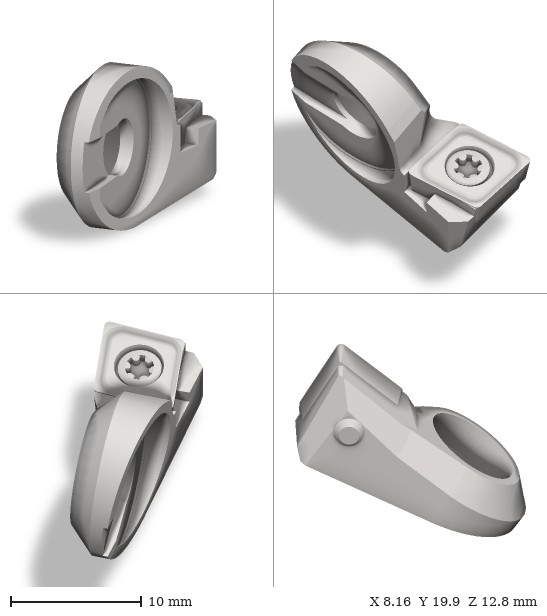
import cadquery as cq
import math

OVERALL_LENGTH = 19.86

RING_DIAMETER = 12.8
RING_RADIUS = RING_DIAMETER / 2
EDGE_CHAMFER = 1.99
BACK_AT_AXIS = 4.53
BACK_SLANT = 11.0
COUNTERBORE_RADIUS = 3.73
COUNTERBORE_DEPTH = 2.55
BOLT_HOLE_RADIUS = 2.25
RECESS_RADIUS = 5.48
RECESS_STEP_RADIUS = 5.4
RECESS_STEP_X = 3.83
RECESS_FLOOR_X = 3.65
KEY_SLOT_HALF_WIDTH = 2.03
KEY_SLOT_FLOOR_X = 2.98

UNDERSIDE_SLOPE = 6.0
FRONT_BEVEL_SLOPE = 4.0
LUG_BEVEL_YAW = 3.0
LUG_BEVEL_DIP = 45.0
LUG_BEVEL_X, LUG_BEVEL_Y, LUG_BEVEL_Z = -0.64, 12.65, -3.75
SHOULDER_SLOPE = 47.0
SHOULDER_LENGTH = 4.96
FRONT_OVERHANG = 1.99
STOCK = 39.72
TOE_Y, TOE_Z = 11.1, -5.22
TOE_ANGLE = 45.0
HEEL_X, HEEL_Y = 6.77, 11.44
HEEL_ANGLE = 40.0
NECK_Y = 5.2
NECK_ANGLE = 206.0
NECK_FILLET = 0.54
WALL_LEAN = 11.5
WALL_FOOT_Y = 6.08
FLANK_FOOT_Y = 4.67
FLANK_ANGLE = 23.3
SHELF_FILLET = 0.48
NOTCH_START_X = 5.06
NOTCH_START_Y = 6.53
NOTCH_END_Y = 9.02

INSERT_X, INSERT_Z = 2.05, 0.18
RAKE = 3.0
INSCRIBED_RADIUS = 3.18
INSERT_THICKNESS = 2.38
CORNER_ANGLE = 80.0
CLEARANCE = 7.0
CORNER_RADIUS = 0.4
CORNER_REACH = CORNER_RADIUS + (INSCRIBED_RADIUS - CORNER_RADIUS) / (
    math.sqrt(2) * math.sin(math.radians(CORNER_ANGLE / 2))
)
INSERT_Y = OVERALL_LENGTH - RING_RADIUS - CORNER_REACH
GROOVE_MARGIN = 0.08
GROOVE_CORNER_RADIUS = 1.4
GROOVE_DEPTH = 0.2
PLATEAU_RADIUS = 2.38
PLATEAU_CORNER_RADIUS = 0.8
PLATEAU_DROP = 0.05
HEAD_CLEARANCE_RADIUS = 1.95
HEAD_CLEARANCE_TAPER = 15.0

SHELF_DROP = 0.12
LAND_DROP = 1.1
ARM_MARGIN = 0.12
NOSE_ANGLE = 135.0
SIDE_ANGLE = NOSE_ANGLE + 90 - CORNER_ANGLE / 2
END_ANGLE = NOSE_ANGLE - 90 + CORNER_ANGLE / 2
NOSE_RELIEF = 11.0
NOSE_REACH = 4.57

SCREW_OFFSET_X, SCREW_OFFSET_Y = 0.08, -0.1
HEAD_RADIUS = 1.69
HEAD_TOP_DROP = 0.08
HEAD_RIM_DROP = 0.28
HEAD_SEAT_DROP = 0.6
HEAD_CONE_END_DROP = 1.3
SHANK_RADIUS = 1.23
TIP_RADIUS = 0.77
SCREW_END_DROP = 6.0
SOCKET_RADIUS = 1.11
SOCKET_BEVEL = 0.15
SOCKET_DEPTH = 0.9
LOBES = 6
LOBE_INNER_RADIUS = 0.73
FLUTE_RADIUS = 0.32

seat = cq.Plane(
    origin=(INSERT_X, INSERT_Y, INSERT_Z),
    xDir=(math.cos(math.radians(RAKE)), 0, math.sin(math.radians(RAKE))),
    normal=(-math.sin(math.radians(RAKE)), 0, math.cos(math.radians(RAKE))),
)


def on_seat(shape):
    """Move a shape built around the insert centre into its tilted place."""
    return cq.Workplane(shape.val().moved(cq.Location(seat)))


def heading(angle, dip=0.0):
    """Unit vector at an angle from X in the XY plane, dipped below that plane."""
    across = math.cos(math.radians(dip))
    return cq.Vector(
        across * math.cos(math.radians(angle)),
        across * math.sin(math.radians(angle)),
        -math.sin(math.radians(dip)),
    )


def beyond(point, normal):
    """Large block covering everything past a plane, on the side its normal points to."""
    return cq.Workplane(cq.Plane(origin=point, normal=normal)).rect(STOCK, STOCK).extrude(STOCK)


def axial_cylinder(radius, start, end):
    return cq.Workplane("YZ", origin=(start, 0, 0)).circle(radius).extrude(end - start)


def rhombus(inscribed_radius, corner_radius):
    """Round-cornered rhombus outline, its acute corners pointing along (-1, 1) and (1, -1)."""
    half_angle = math.radians(CORNER_ANGLE / 2)
    core_radius = inscribed_radius - corner_radius
    acute = core_radius / math.sin(half_angle) * math.sqrt(0.5)
    obtuse = core_radius / math.cos(half_angle) * math.sqrt(0.5)
    corners = [(-acute, acute), (-obtuse, -obtuse), (acute, -acute), (obtuse, obtuse)]
    return cq.Workplane("XY").polyline(corners).close().offset2D(corner_radius)


def make_ring():
    ring = axial_cylinder(RING_RADIUS, 0, STOCK).faces("<X").chamfer(EDGE_CHAMFER)
    shoulder = (
        cq.Workplane("XY")
        .box(STOCK, SHOULDER_LENGTH, RING_RADIUS, centered=False)
        .edges("<X and >Z")
        .chamfer(EDGE_CHAMFER)
        .rotate((0, 0, 0), (1, 0, 0), -SHOULDER_SLOPE)
    )
    return ring.union(shoulder)


def arm_stock(start_x):
    """Block along the underside, which touches the ring and rises toward +Y."""
    stock = cq.Workplane("XY").box(STOCK, STOCK / 2, 2 * RING_RADIUS, centered=False)
    stock = stock.translate((start_x, 0, -RING_RADIUS))
    return stock.rotate((0, 0, 0), (1, 0, 0), UNDERSIDE_SLOPE)


def front_bevel():
    """Space before the bevel that carries on the cone of the ring along the arm."""
    cone_apex = (EDGE_CHAMFER - RING_RADIUS, 0, 0)
    rise = math.radians(FRONT_BEVEL_SLOPE)
    return beyond(cone_apex, cq.Vector(-1, math.sin(rise), -math.cos(rise)))


def lug_bevel():
    """Space before the bevel under the lug that carries the insert."""
    corner = (LUG_BEVEL_X, LUG_BEVEL_Y, LUG_BEVEL_Z)
    return beyond(corner, heading(180 + LUG_BEVEL_YAW, LUG_BEVEL_DIP))


def relief(angle, reach, lean):
    """Space beyond an undercut face that stands at a given reach from the insert centre."""
    return on_seat(beyond(heading(angle) * reach, heading(angle, lean)))


def make_arm():
    lug = arm_stock(-FRONT_OVERHANG).cut(beyond((0, NECK_Y, 0), heading(NECK_ANGLE)))
    arm = arm_stock(0).union(lug)
    neck_corner = cq.selectors.BoxSelector(
        (-NECK_FILLET, NECK_Y - NECK_FILLET, -RING_RADIUS),
        (NECK_FILLET, NECK_Y + NECK_FILLET, RING_RADIUS),
    )
    arm = arm.edges(neck_corner).fillet(NECK_FILLET)
    arm = arm.cut(front_bevel().intersect(lug_bevel()))

    flush = INSCRIBED_RADIUS - ARM_MARGIN
    in_front = beyond((0, 0, 0), (-1, 0, 0))
    arm = arm.cut(relief(SIDE_ANGLE, flush, CLEARANCE).intersect(in_front))
    arm = arm.cut(relief(END_ANGLE, flush, CLEARANCE))
    arm = arm.cut(relief(NOSE_ANGLE, NOSE_REACH, NOSE_RELIEF))
    arm = arm.cut(on_seat(beyond((0, 0, -SHELF_DROP), (0, 0, 1))))
    arm = arm.cut(beyond((HEEL_X, HEEL_Y, 0), heading(HEEL_ANGLE)))
    return arm.cut(beyond((0, TOE_Y, TOE_Z), heading(90, TOE_ANGLE)))


def shelf_clearance():
    """Space above the shelf, behind a leaning wall and an oblique upright wall."""
    wall_foot = WALL_FOOT_Y - INSERT_Y
    wall_run = STOCK * math.tan(math.radians(WALL_LEAN))
    behind_wall = (
        cq.Workplane("YZ", origin=(-STOCK / 2, 0, -SHELF_DROP))
        .polyline([(wall_foot, 0), (wall_foot - wall_run, STOCK), (STOCK, STOCK), (STOCK, 0)])
        .close()
        .extrude(STOCK)
        .edges(cq.selectors.NearestToPointSelector((0, wall_foot, -SHELF_DROP)))
        .fillet(SHELF_FILLET)
    )
    behind_flank = (
        cq.Workplane("XY")
        .box(STOCK, STOCK, STOCK, centered=(True, False, False))
        .edges("<Y and <Z")
        .fillet(SHELF_FILLET)
        .rotate((0, 0, 0), (0, 0, 1), FLANK_ANGLE)
        .translate((-INSERT_X, FLANK_FOOT_Y - INSERT_Y, -SHELF_DROP))
    )
    return on_seat(behind_wall.union(behind_flank))


def land_clearance():
    """Space above the lower land beside the insert."""
    start_x = NOTCH_START_X - INSERT_X
    start_y = NOTCH_START_Y - INSERT_Y
    land = cq.Workplane("XY").box(STOCK, STOCK, STOCK, centered=False)
    return on_seat(land.translate((start_x, start_y, -LAND_DROP)))


def pry_notch():
    """Pocket sunk into the land and open through the back face."""
    notch = cq.Workplane("XY").box(
        STOCK, NOTCH_END_Y - NOTCH_START_Y, 2 * KEY_SLOT_HALF_WIDTH, centered=(False, False, True)
    )
    return notch.translate((NOTCH_START_X, NOTCH_START_Y, 0))


def key_slot():
    """Slot from the -Y rim into the bolt hole, open to the back."""
    slot = cq.Workplane("XY").box(
        STOCK, STOCK, 2 * KEY_SLOT_HALF_WIDTH, centered=(False, False, True)
    )
    return slot.translate((KEY_SLOT_FLOOR_X, -STOCK, 0))


def make_holder(insert_envelope, screw_envelope):
    holder = make_ring().union(make_arm()).cut(shelf_clearance())
    holder = holder.cut(land_clearance()).cut(pry_notch())
    holder = holder.cut(beyond((BACK_AT_AXIS, 0, 0), heading(-BACK_SLANT)))
    holder = holder.cut(axial_cylinder(COUNTERBORE_RADIUS, 0, COUNTERBORE_DEPTH))
    holder = holder.cut(axial_cylinder(BOLT_HOLE_RADIUS, 0, STOCK))
    holder = holder.cut(axial_cylinder(RECESS_STEP_RADIUS, RECESS_FLOOR_X, STOCK))
    holder = holder.cut(axial_cylinder(RECESS_RADIUS, RECESS_STEP_X, STOCK))
    return holder.cut(key_slot()).cut(insert_envelope).cut(screw_envelope)


def make_insert_envelope():
    blank = rhombus(INSCRIBED_RADIUS, CORNER_RADIUS).extrude(-INSERT_THICKNESS, taper=CLEARANCE)
    return on_seat(blank)


def chip_groove():
    """Sunken band between the cutting edges and the raised middle of the insert."""
    outer_radius = INSCRIBED_RADIUS - GROOVE_MARGIN
    half_width = (outer_radius - PLATEAU_RADIUS) / 2
    rise = GROOVE_DEPTH - PLATEAU_DROP
    sunken = rhombus(outer_radius, GROOVE_CORNER_RADIUS).extrude(
        -GROOVE_DEPTH, taper=math.degrees(math.atan2(half_width, GROOVE_DEPTH))
    )
    plateau = (
        rhombus(PLATEAU_RADIUS, PLATEAU_CORNER_RADIUS)
        .extrude(-rise, taper=-math.degrees(math.atan2(half_width, rise)))
        .translate((0, 0, -PLATEAU_DROP))
    )
    return on_seat(sunken.cut(plateau))


def make_insert(envelope, screw_envelope):
    head_clearance = on_seat(
        cq.Workplane("XY")
        .circle(HEAD_CLEARANCE_RADIUS)
        .extrude(-HEAD_SEAT_DROP, taper=HEAD_CLEARANCE_TAPER)
    )
    return envelope.cut(chip_groove()).cut(head_clearance).cut(screw_envelope)


def make_screw_envelope():
    tip_bevel = SHANK_RADIUS - TIP_RADIUS
    half_profile = [
        (0, -HEAD_TOP_DROP),
        (SOCKET_RADIUS, -HEAD_TOP_DROP),
        (HEAD_RADIUS, -HEAD_RIM_DROP),
        (HEAD_RADIUS, -HEAD_SEAT_DROP),
        (SHANK_RADIUS, -HEAD_CONE_END_DROP),
        (SHANK_RADIUS, tip_bevel - SCREW_END_DROP),
        (TIP_RADIUS, -SCREW_END_DROP),
        (0, -SCREW_END_DROP),
    ]
    screw = cq.Workplane("XZ").polyline(half_profile).close().revolve(360, (0, 0), (0, 1))
    return on_seat(screw.translate((SCREW_OFFSET_X, SCREW_OFFSET_Y, 0)))


def star_socket():
    """Six-lobed socket with a conical lead-in."""
    flutes = (
        cq.Workplane("XY")
        .polarArray(LOBE_INNER_RADIUS + FLUTE_RADIUS, 0, 360, LOBES)
        .circle(FLUTE_RADIUS)
        .extrude(-SOCKET_DEPTH)
    )
    star = cq.Workplane("XY").circle(SOCKET_RADIUS).extrude(-SOCKET_DEPTH).cut(flutes)
    lead_in = cq.Workplane(
        cq.Solid.makeCone(LOBE_INNER_RADIUS, SOCKET_RADIUS, SOCKET_BEVEL, cq.Vector(0, 0, -SOCKET_BEVEL))
    )
    return on_seat(star.union(lead_in).translate((SCREW_OFFSET_X, SCREW_OFFSET_Y, -HEAD_TOP_DROP)))


insert_envelope = make_insert_envelope()
screw_envelope = make_screw_envelope()

holder = make_holder(insert_envelope, screw_envelope)
insert = make_insert(insert_envelope, screw_envelope)
screw = screw_envelope.cut(star_socket())

result = cq.Compound.makeCompound([holder.solids().val(), insert.solids().val(), screw.solids().val()])